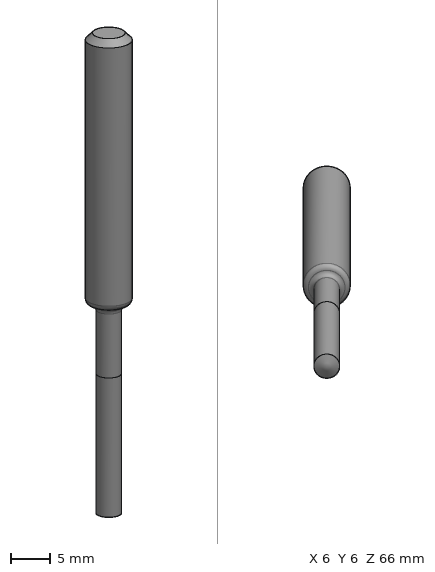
import cadquery as cq
import math

total_length = 66.0
shank_radius = 6.0 / 2
neck_radius = 1.65
end_chamfer = 0.9
shoulder_top = 29.9
shoulder_bottom = 28.3
joint_height = 19.6
point_angle = 140.0

shoulder_rise = shoulder_top - shoulder_bottom
shoulder_step = shank_radius - neck_radius
arc_sweep = 2 * math.atan2(shoulder_step, shoulder_rise)
arc_radius = shoulder_rise / (2 * math.sin(arc_sweep))
arc_mid_offset = arc_radius * (1 - math.cos(arc_sweep / 2))
arc_mid_height = arc_radius * math.sin(arc_sweep / 2)
shoulder_middle = (neck_radius + shoulder_step / 2, shoulder_bottom + shoulder_rise / 2)

point_height = neck_radius / math.tan(math.radians(point_angle / 2))


def revolve_about_z(profile):
    """Revolve a closed half profile, drawn as (radius, height), about Z."""
    return profile.close().revolve(360, (0, 0, 0), (0, 1, 0))


def make_shank():
    """Chamfered shank that flows through an S-shaped shoulder into the neck."""
    profile = (
        cq.Workplane("XZ")
        .moveTo(0, joint_height)
        .lineTo(neck_radius, joint_height)
        .lineTo(neck_radius, shoulder_bottom)
        .threePointArc((neck_radius + arc_mid_offset, shoulder_bottom + arc_mid_height), shoulder_middle)
        .threePointArc(
            (shank_radius - arc_mid_offset, shoulder_top - arc_mid_height),
            (shank_radius, shoulder_top),
        )
        .lineTo(shank_radius, total_length - end_chamfer)
        .lineTo(shank_radius - end_chamfer, total_length)
        .lineTo(0, total_length)
    )
    return revolve_about_z(profile)


def make_drill_tip():
    """Cylinder with a conical point, butted against the neck of the shank."""
    profile = (
        cq.Workplane("XZ")
        .moveTo(0, 0)
        .lineTo(neck_radius, point_height)
        .lineTo(neck_radius, joint_height)
        .lineTo(0, joint_height)
    )
    return revolve_about_z(profile)


shank = make_shank()
drill_tip = make_drill_tip()

result = cq.Compound.makeCompound([shank.val(), drill_tip.val()])